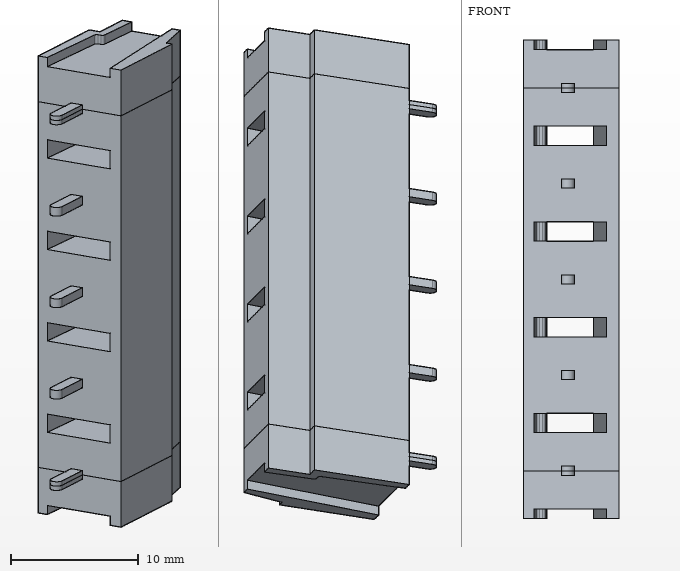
import cadquery as cq


PITCH = 7.5
CELL_COUNT = 5
ROW_LENGTH = PITCH * CELL_COUNT
END_HEIGHT = PITCH / 2
SEAM_Z = ROW_LENGTH / 2 - END_HEIGHT

WIDTH = 7.5
DEPTH = 11.48
SHOULDER_Y = 8.0
LEFT_SHOULDER_X = -2.78
RIGHT_SHOULDER_X = 3.22
BACK_RIGHT_X = 2.48

RECESS_DEPTH = 0.75
RECESS_FRONT_LEFT_X = -2.92
RECESS_FRONT_RIGHT_X = 2.78
RECESS_BACK_LEFT_X = -1.9
RECESS_BACK_RIGHT_X = 1.72
RECESS_STEP_Y = 7.2
RECESS_STEP_OUTER_X = -2.7
RECESS_STEP_INNER_X = -2.02
RECESS_STEP_RADIUS = 0.22

PIN_X = -0.25
PIN_WIDTH = 1.0
PIN_THICKNESS = 0.7
PIN_LENGTH = 3.65


def housing_block(bottom_z, height):
    """Plain housing slab with a narrower back part."""
    half_width = WIDTH / 2
    outline = [
        (-half_width, 0),
        (half_width, 0),
        (half_width, SHOULDER_Y),
        (RIGHT_SHOULDER_X, SHOULDER_Y),
        (BACK_RIGHT_X, DEPTH),
        (LEFT_SHOULDER_X, DEPTH),
        (LEFT_SHOULDER_X, SHOULDER_Y),
        (-half_width, SHOULDER_Y),
    ]
    return cq.Workplane("XY").workplane(offset=bottom_z).polyline(outline).close().extrude(height)


def slot_cutter(boundary_z):
    """Two facing recesses about a cell boundary, running from front to back."""
    outline = [
        (RECESS_FRONT_LEFT_X, 0),
        (RECESS_FRONT_RIGHT_X, 0),
        (RECESS_BACK_RIGHT_X, DEPTH),
        (RECESS_BACK_LEFT_X, DEPTH),
        (RECESS_STEP_INNER_X, RECESS_STEP_Y),
        (RECESS_STEP_OUTER_X, RECESS_STEP_Y),
    ]
    cutter = (
        cq.Workplane("XY")
        .workplane(offset=boundary_z - RECESS_DEPTH)
        .polyline(outline)
        .close()
        .extrude(2 * RECESS_DEPTH)
    )
    reach = RECESS_STEP_RADIUS
    step_corners = cq.selectors.BoxSelector(
        (RECESS_STEP_OUTER_X - reach, RECESS_STEP_Y - reach, boundary_z - RECESS_DEPTH),
        (RECESS_STEP_INNER_X + reach, RECESS_STEP_Y + reach, boundary_z + RECESS_DEPTH),
    )
    return cutter.edges("|Z").edges(step_corners).fillet(RECESS_STEP_RADIUS)


def solder_pin(bottom_z, thickness):
    """Flat pin growing from the pin face towards -Y."""
    radius = PIN_WIDTH / 2
    shank_end_y = radius - PIN_LENGTH
    return (
        cq.Workplane("XY")
        .workplane(offset=bottom_z)
        .moveTo(PIN_X - radius, 0)
        .lineTo(PIN_X - radius, shank_end_y)
        .threePointArc((PIN_X, -PIN_LENGTH), (PIN_X + radius, shank_end_y))
        .lineTo(PIN_X + radius, 0)
        .close()
        .extrude(thickness)
    )


def middle_section():
    """Section between the seams: whole pins inside and half a pin at each seam."""
    section = housing_block(-SEAM_Z, 2 * SEAM_Z)
    for index in range(CELL_COUNT - 1):
        section = section.cut(slot_cutter(-SEAM_Z + (index + 0.5) * PITCH))
    for index in range(1, CELL_COUNT - 1):
        pin_z = -SEAM_Z + index * PITCH
        section = section.union(solder_pin(pin_z - PIN_THICKNESS / 2, PIN_THICKNESS))
    section = section.union(solder_pin(-SEAM_Z, PIN_THICKNESS / 2))
    section = section.union(solder_pin(SEAM_Z - PIN_THICKNESS / 2, PIN_THICKNESS / 2))
    return section


def end_section(side):
    """Half cell closing the row; side is 1 for the +Z end and -1 for the -Z end."""
    section = housing_block(SEAM_Z, END_HEIGHT)
    section = section.cut(slot_cutter(ROW_LENGTH / 2))
    section = section.union(solder_pin(SEAM_Z, PIN_THICKNESS / 2))
    if side < 0:
        section = section.mirror("XY")
    return section


middle = middle_section()
ends = [end_section(side) for side in (-1, 1)]

result = cq.Compound.makeCompound([middle.val(), *[end.val() for end in ends]])